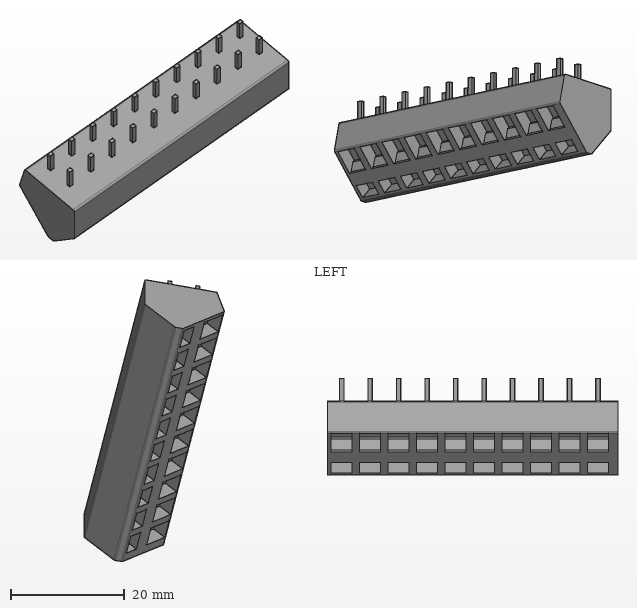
import cadquery as cq
import math

length = 51.0
width = 14.3
body_height = 13.0
side_tilt = 14.0
left_corner_height = 7.5
right_corner_height = 5.45
edge_radius = 0.35
face_slope = 45.0

overall_height = 17.0
pin_width = 0.7
pin_length = 0.8
pin_root_height = 10.2
pole_count = 10
pole_pitch = 5.0
first_pole_y = 3.5
row_pitch = 5.0
right_row_inset = 5.0

opening_width = 3.65
opening_depth = 2.8
test_slot_bottom_height = 0.4
test_slot_top_height = 2.2
wire_entry_bottom_height = 4.05
wire_entry_top_height = 7.3
entry_lip_depth = 0.6
funnel_depth = 1.7
funnel_angle = 30.0
cutter_overshoot = 0.5

half_turn = math.radians((side_tilt + face_slope) / 2)
bisector_drop = math.radians((face_slope - side_tilt) / 2)
left_corner_x = edge_radius * (1 - math.cos(bisector_drop) / math.cos(half_turn))

top_left_x = left_corner_x + (body_height - left_corner_height) * math.tan(math.radians(side_tilt))
bottom_left_x = left_corner_x + left_corner_height
bottom_right_x = width - right_corner_height

pole_ys = [first_pole_y + i * pole_pitch for i in range(pole_count)]


def make_body():
    outline = [
        (top_left_x, body_height),
        (left_corner_x, left_corner_height),
        (bottom_left_x, 0),
        (bottom_right_x, 0),
        (width, right_corner_height),
        (width, body_height),
    ]
    block = cq.Workplane("XZ").polyline(outline).close().extrude(-length)
    return block.edges("|Y").fillet(edge_radius)


def make_pins():
    right_row_x = width - right_row_inset
    centres = [(x, y) for x in (right_row_x - row_pitch, right_row_x) for y in pole_ys]
    pins = cq.Workplane("XY").workplane(offset=pin_root_height).pushPoints(centres)
    return pins.rect(pin_width, pin_length).extrude(overall_height - pin_root_height)


def slope_point(height, lateral, depth):
    """XZ point: start on the sloped face at a height, move up the face, then straight into it."""
    diagonal = math.sin(math.radians(face_slope))
    x = bottom_left_x - height + (depth - lateral) * diagonal
    z = height + (depth + lateral) * diagonal
    return (x, z)


def make_cutter(points, pole_y):
    start = cq.Workplane("XZ", origin=(0, pole_y - opening_width / 2, 0))
    return start.polyline(points).close().extrude(-opening_width)


def test_slot_outline():
    return [
        slope_point(test_slot_bottom_height, 0, -cutter_overshoot),
        slope_point(test_slot_bottom_height, 0, opening_depth),
        slope_point(test_slot_top_height, 0, opening_depth),
        slope_point(test_slot_top_height, 0, -cutter_overshoot),
    ]


def wire_entry_outline():
    """The lower wall has a straight lip, a narrowing funnel and a straight end; the upper is straight."""
    funnel_end_depth = entry_lip_depth + funnel_depth
    narrowing = funnel_depth * math.tan(math.radians(funnel_angle))
    return [
        slope_point(wire_entry_bottom_height, 0, -cutter_overshoot),
        slope_point(wire_entry_bottom_height, 0, entry_lip_depth),
        slope_point(wire_entry_bottom_height, narrowing, funnel_end_depth),
        slope_point(wire_entry_bottom_height, narrowing, opening_depth),
        slope_point(wire_entry_top_height, 0, opening_depth),
        slope_point(wire_entry_top_height, 0, -cutter_overshoot),
    ]


result = make_body().union(make_pins())
for pole_y in pole_ys:
    result = result.cut(make_cutter(test_slot_outline(), pole_y))
    result = result.cut(make_cutter(wire_entry_outline(), pole_y))